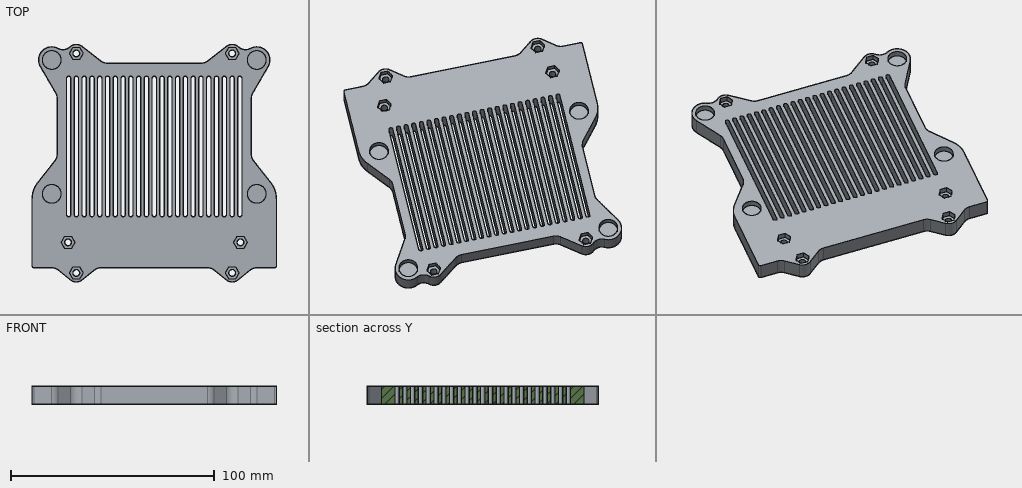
import cadquery as cq
import math

THICKNESS = 9.0
HALF_WIDTH = 60.0
BACK_EDGE_Y = 100.5

LUG_X = 38.25
LUG_RADIUS = 4.5
FRONT_LUG_Y = -2.5
LUG_SPACING_Y = 107.71
REAR_LUG_Y = FRONT_LUG_Y + LUG_SPACING_Y
FRONT_LUG_HALF_BASE = 10.3
REAR_LUG_FOOT_X = 24.9

MAGNET_X = 50.3
FRONT_MAGNET_Y = 36.3
REAR_MAGNET_Y = 102.0
MAGNET_DIAMETER = 9.2
MAGNET_DEPTH = 3.2
EAR_RADIUS = 6.5

WAIST_X = 47.7
WAIST_FRONT_Y = 53.9
WAIST_REAR_Y = 84.6
SHOULDER_Y = 38.3

FRONT_CORNER_RADIUS = 1.0
SHOULDER_RADIUS = 12.5
BLEND_RADIUS = 5.0

INNER_SCREW_X = 42.3
INNER_SCREW_Y = 12.5
SCREW_DIAMETER = 3.2
NUT_ACROSS_FLATS = 5.9
NUT_DEPTH = 3.0

SLOT_COUNT = 23
SLOT_PITCH = 3.82
SLOT_WIDTH = 2.0
SLOT_FRONT_Y = 25.1
SLOT_REAR_Y = 94.0


def polar(center, radius, angle):
    """Point at the given angle (radians) on a circle."""
    return (center[0] + radius * math.cos(angle), center[1] + radius * math.sin(angle))


def direction(start, end):
    """Angle (radians) of the line from start to end."""
    return math.atan2(end[1] - start[1], end[0] - start[0])


def tangent_angle(center, radius, point, side):
    """Angle on the circle where the tangent from an outside point touches; side is +1 or -1."""
    return direction(center, point) + side * math.acos(radius / math.dist(center, point))


def add_arc(sketch, center, radius, start_angle, end_angle):
    """Append the clockwise arc between two angles of a circle."""
    sweep = (start_angle - end_angle) % (2 * math.pi)
    middle = polar(center, radius, start_angle - sweep / 2)
    return sketch.threePointArc(middle, polar(center, radius, end_angle))


def valley_center(ear, lug):
    """Center of the hollow arc that touches both the ear and the rear lug."""
    to_ear = EAR_RADIUS + BLEND_RADIUS
    to_lug = LUG_RADIUS + BLEND_RADIUS
    gap = math.dist(ear, lug)
    opening = math.acos((to_ear**2 + gap**2 - to_lug**2) / (2 * to_ear * gap))
    return polar(ear, to_ear, direction(ear, lug) + opening)


def make_left_half():
    """Left half of the plate, running clockwise from the middle of the front edge."""
    front_lug = (-LUG_X, FRONT_LUG_Y)
    rear_lug = (-LUG_X, REAR_LUG_Y)
    ear = (-MAGNET_X, REAR_MAGNET_Y)
    valley = valley_center(ear, rear_lug)

    lug_inner_foot = (-LUG_X + FRONT_LUG_HALF_BASE, 0)
    lug_outer_foot = (-LUG_X - FRONT_LUG_HALF_BASE, 0)
    front_corner = (-HALF_WIDTH, 0)
    shoulder = (-HALF_WIDTH, SHOULDER_Y)
    waist_front = (-WAIST_X, WAIST_FRONT_Y)
    waist_rear = (-WAIST_X, WAIST_REAR_Y)
    rear_lug_foot = (-REAR_LUG_FOOT_X, BACK_EDGE_Y)

    front_lug_start = tangent_angle(front_lug, LUG_RADIUS, lug_inner_foot, -1)
    front_lug_end = tangent_angle(front_lug, LUG_RADIUS, lug_outer_foot, 1)
    ear_start = tangent_angle(ear, EAR_RADIUS, waist_rear, -1)
    rear_lug_end = tangent_angle(rear_lug, LUG_RADIUS, rear_lug_foot, 1)

    outline = cq.Workplane("XY").moveTo(0, 0).lineTo(*lug_inner_foot)
    outline = outline.lineTo(*polar(front_lug, LUG_RADIUS, front_lug_start))
    outline = add_arc(outline, front_lug, LUG_RADIUS, front_lug_start, front_lug_end)
    for corner in (lug_outer_foot, front_corner, shoulder, waist_front, waist_rear):
        outline = outline.lineTo(*corner)
    outline = outline.lineTo(*polar(ear, EAR_RADIUS, ear_start))
    outline = add_arc(outline, ear, EAR_RADIUS, ear_start, direction(ear, valley))
    valley_bottom = (valley[0], valley[1] - BLEND_RADIUS)
    valley_end = polar(valley, BLEND_RADIUS, direction(valley, rear_lug))
    outline = outline.threePointArc(valley_bottom, valley_end)
    outline = add_arc(outline, rear_lug, LUG_RADIUS, direction(rear_lug, valley), rear_lug_end)
    outline = outline.lineTo(*rear_lug_foot).lineTo(0, BACK_EDGE_Y).close()

    half = outline.extrude(THICKNESS)
    corner_radii = [
        (lug_inner_foot, BLEND_RADIUS),
        (lug_outer_foot, BLEND_RADIUS),
        (front_corner, FRONT_CORNER_RADIUS),
        (shoulder, SHOULDER_RADIUS),
        (waist_front, BLEND_RADIUS),
        (waist_rear, BLEND_RADIUS),
        (rear_lug_foot, BLEND_RADIUS),
    ]
    for corner, radius in corner_radii:
        edge_middle = (*corner, THICKNESS / 2)
        half = half.edges(cq.selectors.NearestToPointSelector(edge_middle)).fillet(radius)
    return half


def mirrored(points):
    """The points together with their mirror images across X = 0."""
    return points + [(-x, y) for x, y in points]


def cut_magnet_pockets(body):
    """Round blind pockets in the top face."""
    centers = mirrored([(MAGNET_X, FRONT_MAGNET_Y), (MAGNET_X, REAR_MAGNET_Y)])
    pockets = cq.Workplane("XY", origin=(0, 0, THICKNESS)).pushPoints(centers)
    return body.cut(pockets.circle(MAGNET_DIAMETER / 2).extrude(-MAGNET_DEPTH))


def cut_screw_holes(body):
    """Through holes, each with a hexagonal nut pocket in the top face."""
    centers = mirrored([(LUG_X, FRONT_LUG_Y), (LUG_X, REAR_LUG_Y), (INNER_SCREW_X, INNER_SCREW_Y)])
    nut_across_corners = NUT_ACROSS_FLATS / math.cos(math.pi / 6)
    holes = cq.Workplane("XY").pushPoints(centers).circle(SCREW_DIAMETER / 2).extrude(THICKNESS)
    nuts = cq.Workplane("XY", origin=(0, 0, THICKNESS)).pushPoints(centers)
    nuts = nuts.polygon(6, nut_across_corners).extrude(-NUT_DEPTH)
    return body.cut(holes).cut(nuts)


def cut_slots(body):
    """Row of round-ended slots through the plate."""
    length = SLOT_REAR_Y - SLOT_FRONT_Y
    middle_y = (SLOT_REAR_Y + SLOT_FRONT_Y) / 2
    slots = cq.Workplane("XY", origin=(0, middle_y, 0)).rarray(SLOT_PITCH, 1, SLOT_COUNT, 1)
    return body.cut(slots.slot2D(length, SLOT_WIDTH, 90).extrude(THICKNESS))


left_half = make_left_half()
plate = left_half.union(left_half.mirror("YZ")).clean()
plate = cut_magnet_pockets(plate)
plate = cut_screw_holes(plate)
result = cut_slots(plate)